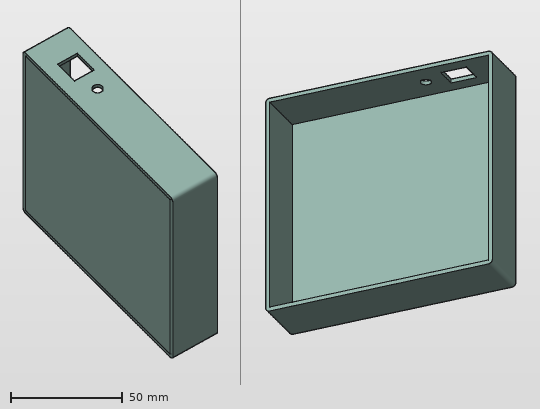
import cadquery as cq

width = 112.3
depth = 25.0
height = 107.7
wall = 2.0
corner_radius = 2.0

panel_thickness = 1.0

opening_y = (depth + panel_thickness) / 2
window_width = 12.6
window_depth = 11.0
window_x = 22.2
round_hole_diameter = 5.0
round_hole_x = 38.5

inner_width = width - 2 * wall
inner_height = height - 2 * wall


def box_from_front(size_x, size_y, size_z):
    """Box standing on Z = wall and X = wall, reaching from the front face toward +Y."""
    return cq.Workplane("XY").box(size_x, size_y, size_z, centered=False).translate((wall, 0, wall))


def make_housing():
    """Rounded rectangular frame, open at the back, with two openings in its top wall."""
    block = cq.Workplane("XY").box(width, depth, height, centered=False)
    frame = block.edges("|Y").fillet(corner_radius)
    frame = frame.cut(box_from_front(inner_width, depth, inner_height))

    top_wall_underside = cq.Workplane("XY", origin=(0, 0, height - wall))
    window = top_wall_underside.center(window_x, opening_y).rect(window_width, window_depth).extrude(wall)
    round_hole_centre = top_wall_underside.center(round_hole_x, opening_y)
    round_hole = round_hole_centre.circle(round_hole_diameter / 2).extrude(wall)
    return frame.cut(window).cut(round_hole).solids()


def make_front_panel():
    """Flat plate filling the front of the frame, flush with its front edge."""
    return box_from_front(inner_width, panel_thickness, inner_height)


housing = make_housing()
front_panel = make_front_panel()

result = cq.Compound.makeCompound([housing.val(), front_panel.val()])